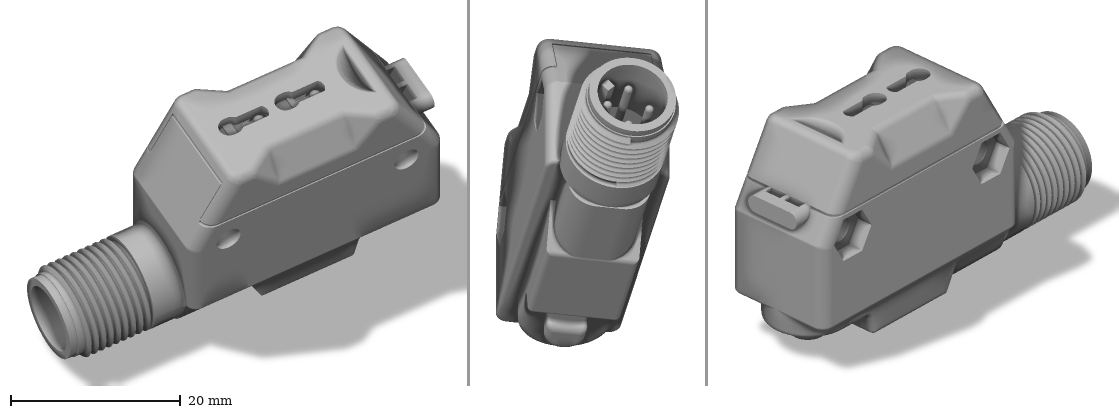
import cadquery as cq
import math


overlap = 1.0
pick_slack = 0.25

width = 15.0
length = 34.4
bottom_z = -0.35
shoulder_z = 11.1
shoulder_round = 0.4
top_z = 21.4
slope_angle = 60
end_round = 1.5
top_round = 1.2
bottom_round = 0.45
half_width = width / 2
mid_y = length / 2
slope_run = (top_z - shoulder_z) / math.tan(math.radians(slope_angle))

seam_top = 14.8
seam_height = 0.4
seam_depth = 0.15
end_panel_width = 11.95
end_panel_top = 20.05
end_panel_depth = 0.25
end_panel_top_gap = 0.35
end_panel_side_gap = 0.1

pocket_length = 10.2
pocket_top_x = 4.75
pocket_bottom_z = 17.25
pocket_end_slant = 1.75
pocket_lip_round = 1.2
pocket_corner_round = 0.6
pocket_reach = 10.0

thumb_back_y = 26.95
thumb_front_y = 24.6
thumb_radius = 4.45
thumb_rim = 0.45

slot_depth = 1.5
slot_width = 1.7
slot_head_radius = 1.3
slot_head_stretch = 0.4
slot_head_offset = 3.85
well_radius = 1.15
well_depth = 0.5
knob_radius = 0.75
mark_height = 0.25
mark_x = 0.4
mark_gap = 0.6
mark_width = 0.7
stud_y = 11.85
stud_radius = 0.55
crossbar_start = 9.2
crossbar_end = 10.3
front_slot_y = 13.5
rear_slot_y = 21.1

hole_y = (5.1, 29.2)
hole_z = 10.95
hole_diameter = 3.25
nut_diameter = 6.5
nut_depth = 2.1

bar_width = 7.75
bar_height = 2.25
bar_end_y = 35.1
bar_root_y = 30.05
bar_window_width = 2.35
bar_rib = 0.65
bar_window_back = 32.25
bar_window_front = 33.4

base_width = 11.1
base_z = -3.15
block_z = -6.1
block_rear_top_y = 24.2
block_rear_bottom_y = 23.4
block_front_bottom_y = 10.9
block_front_top_y = 7.5
base_round = 0.65
tunnel_width = 9.9
tunnel_round = 3.35

button_radius = 2.45
button_y = 28.9
button_flat_y = 27.05
button_z = -5.45
button_round = 0.9
button_corner = 0.5

neck_radius = 6.0
neck_length = 4.1
flare = 0.25
core_radius = 5.35
core_end = 14.05
tip_radius = 5.2
connector_length = 50.1 - bar_end_y
thread_pitch = 1.0
thread_turns = 9.0
thread_start = 4.35
thread_base = 0.95
thread_embed = 0.1
bore_radius = 4.2
bore_depth = 9.0
pin_circle = 2.5
pin_radius = 0.5
pin_recess = 2.25
pin_round = 0.45
key_width = 1.1
key_inner = 3.0
key_outer = 4.85
key_angle = 45
key_recess = 2.25


def profile_x(points, x_width):
    """Extrude a (y, z) outline symmetrically about the YZ plane."""
    return cq.Workplane("YZ").polyline(points).close().extrude(x_width / 2, both=True)


def cylinder_y(radius, y_start, y_end, x=0, z=0):
    """Cylinder along Y from y_start down to y_end."""
    return cq.Workplane("XZ", origin=(x, y_start, z)).circle(radius).extrude(y_start - y_end)


def box_between(z_low, z_high, x_size, y_size, y_center=0):
    """Box centered on X, between two heights."""
    plane = cq.Workplane("XY", origin=(0, y_center, z_low))
    return plane.rect(x_size, y_size).extrude(z_high - z_low)


def pick_box(low, high):
    """Selector for edges whose centers lie in a slightly enlarged box."""
    return cq.selectors.BoxSelector(
        tuple(value - pick_slack for value in low),
        tuple(value + pick_slack for value in high),
    )


def slope_y(z):
    """Y of the connector-side slope at height z."""
    return (z - shoulder_z) / math.tan(math.radians(slope_angle))


def make_pocket():
    """Wedge on the +X side with a slanted floor and flared ends."""
    floor_run = half_width - pocket_top_x
    floor_drop = top_z - pocket_bottom_z
    half = pocket_length / 2
    flared_half = half + pocket_end_slant * pocket_reach
    floor_plane = cq.Plane(
        origin=(half_width, mid_y, pocket_bottom_z),
        xDir=(0, 1, 0),
        normal=(floor_run, 0, -floor_drop),
    )
    outline = [(-half, 0), (half, 0), (flared_half, pocket_reach), (-flared_half, pocket_reach)]
    return cq.Workplane(floor_plane).polyline(outline).close().extrude(pocket_reach, both=True)


def make_housing():
    outline = [
        (0, bottom_z),
        (0, shoulder_z),
        (slope_run, top_z),
        (length - slope_run, top_z),
        (length, shoulder_z),
        (length, bottom_z),
    ]
    housing = profile_x(outline, width)
    shoulder_edges = pick_box((-half_width, 0, shoulder_z), (half_width, length, shoulder_z))
    housing = housing.edges(shoulder_edges).edges("|X").fillet(shoulder_round)
    housing = housing.edges("not (|X or |Y)").fillet(end_round)
    pocket = make_pocket()
    housing = housing.cut(pocket).cut(pocket.mirror("YZ"))
    housing = housing.faces(">Z").edges().fillet(top_round)
    for side in (-1, 1):
        housing = round_pocket(housing, side)
    return housing.faces("<Z").edges().fillet(bottom_round)


def round_pocket(housing, side):
    """Round one pocket's outline on the side face, then its two inside corners."""
    face_x = side * half_width
    outline = pick_box(
        (face_x, slope_run, pocket_bottom_z),
        (face_x, length - slope_run, top_z - top_round),
    )
    housing = housing.edges(outline).fillet(pocket_lip_round)
    corner_x = side * (half_width + pocket_top_x) / 2
    corner_z = (top_z + pocket_bottom_z) / 2
    for end in (-1, 1):
        corner_y = mid_y + end * pocket_length / 2
        corner = pick_box((corner_x - 0.5, corner_y, corner_z - 0.5), (corner_x + 0.5, corner_y, corner_z + 0.5))
        housing = housing.edges(corner).fillet(pocket_corner_round)
    return housing


def cut_seam(housing):
    """Shallow groove below the lid on the sides and corners and across the rear."""
    seam_bottom = seam_top - seam_height
    ring = housing.intersect(box_between(seam_bottom, seam_top, 2 * width, 2 * length, mid_y))
    core_length = length - 2 * slope_y(seam_top) - 2 * seam_depth
    core = box_between(seam_bottom, seam_top, width - 2 * seam_depth, core_length, mid_y)
    ring = ring.cut(core.edges("|Z").fillet(end_round))
    panel = box_between(seam_bottom, seam_top, end_panel_width, length)
    return housing.cut(ring.cut(panel))


def cut_end_panel(housing):
    """Narrow gap framing the top and sides of the panel on the connector-side slope."""
    seam_y = slope_y(seam_top)
    top_y = slope_y(end_panel_top)
    outline = [
        (seam_y - end_panel_depth, seam_top),
        (seam_y + end_panel_depth, seam_top),
        (top_y + end_panel_depth, end_panel_top),
        (top_y - end_panel_depth, end_panel_top),
    ]
    panel_top = end_panel_top - end_panel_top_gap
    panel = profile_x(outline, end_panel_width - 2 * end_panel_side_gap)
    panel = panel.intersect(box_between(0, panel_top, width, length))
    return housing.cut(profile_x(outline, end_panel_width).cut(panel))


def cut_thumb_recess(housing):
    """Conical scoop closed by an upright back wall, with a rounded rim."""
    tip = (0, thumb_front_y + thumb_radius, top_z - thumb_radius)
    scoop = cq.Workplane(cq.Solid.makeCone(0, thumb_radius, thumb_radius, pnt=tip, dir=(0, 0, 1)))
    front = box_between(0, top_z, width, length, thumb_back_y - length / 2)
    housing = housing.cut(scoop.intersect(front))
    rim = pick_box((-thumb_radius, thumb_front_y, top_z), (thumb_radius, thumb_back_y, top_z))
    return housing.edges(rim).fillet(thumb_rim)


def cut_keyhole(housing, knob_y):
    """Keyhole slot with a round well and a domed knob at its narrow end."""
    floor_z = top_z - slot_depth
    head_y = knob_y - slot_head_offset
    neck = box_between(floor_z, top_z, slot_width, slot_head_offset, knob_y - slot_head_offset / 2)
    well_floor = floor_z - well_depth
    well = cq.Workplane("XY", origin=(0, knob_y, well_floor)).circle(well_radius).extrude(top_z - well_floor)
    well = well.intersect(box_between(well_floor, top_z, slot_width, 2 * well_radius, knob_y))
    head = (
        cq.Workplane("XY", origin=(0, head_y, floor_z))
        .slot2D(2 * slot_head_radius + slot_head_stretch, 2 * slot_head_radius, 90)
        .extrude(slot_depth)
    )
    knob = cq.Workplane("XY", origin=(0, knob_y, floor_z)).sphere(knob_radius)
    return housing.cut(neck).cut(head).cut(well).union(knob)


def make_corner_marks():
    """Two opposed L-shaped steps on the floor of the rear slot."""
    head_y = rear_slot_y - slot_head_offset
    neck_reach = slot_head_offset - well_radius
    upper = [
        (mark_x, neck_reach),
        (mark_x, mark_gap),
        (-slot_head_radius, mark_gap),
        (-slot_head_radius, mark_gap + mark_width),
        (mark_x - mark_width, mark_gap + mark_width),
        (mark_x - mark_width, neck_reach),
    ]
    lower = [(-x, -y) for x, y in upper]
    marks = cq.Workplane("XY", origin=(0, head_y, top_z - slot_depth))
    return marks.polyline(upper).close().polyline(lower).close().extrude(mark_height)


def make_front_marks():
    """Round stud and raised crossbar on the floor of the front slot."""
    floor_z = top_z - slot_depth
    stud = cq.Workplane("XY", origin=(0, stud_y, floor_z)).circle(stud_radius).extrude(mark_height)
    outline = [
        (crossbar_start, floor_z),
        (crossbar_end + mark_height, floor_z),
        (crossbar_end, floor_z + mark_height),
        (crossbar_start, floor_z + mark_height),
    ]
    return stud.union(profile_x(outline, 2 * slot_head_radius))


def cut_nut_holes(housing):
    for y in hole_y:
        hole = cq.Workplane("YZ", origin=(0, y, hole_z)).circle(hole_diameter / 2)
        nut = cq.Workplane("YZ", origin=(-half_width, y, hole_z)).polygon(6, nut_diameter)
        housing = housing.cut(hole.extrude(width, both=True)).cut(nut.extrude(nut_depth))
    return housing


def make_light_bar():
    """Round-sided bar on the rear slope with two slanted windows behind its front."""
    bar = (
        cq.Workplane("XZ", origin=(0, bar_end_y, seam_top - bar_height / 2))
        .slot2D(bar_width, bar_height)
        .extrude(bar_end_y - bar_root_y)
    )
    return bar


def cut_bar_windows(body):
    drop = (bar_window_front - bar_window_back) * math.tan(math.radians(slope_angle))
    outline = [
        (bar_window_back, seam_top + bar_height),
        (bar_window_front, seam_top + bar_height),
        (bar_window_front, seam_top),
        (bar_window_back, seam_top - drop),
    ]
    window = profile_x(outline, bar_window_width)
    offset = (bar_window_width + bar_rib) / 2
    for side in (-1, 1):
        body = body.cut(window.translate((side * offset, 0, 0)))
    return body


def make_base():
    """Round-ended foot and deeper block under the housing."""
    top = bottom_z + overlap
    outline = [
        (length, top),
        (length, base_z),
        (block_rear_top_y, base_z),
        (block_rear_bottom_y, block_z),
        (block_front_bottom_y, block_z),
        (block_front_top_y, top),
    ]
    end_radius = base_width / 2
    straight = length - end_radius
    plan = (
        cq.Workplane("XY", origin=(0, 0, block_z))
        .moveTo(-end_radius, 0)
        .lineTo(-end_radius, straight)
        .threePointArc((0, length), (end_radius, straight))
        .lineTo(end_radius, 0)
        .close()
        .extrude(top - block_z)
    )
    base = profile_x(outline, base_width).intersect(plan)
    step_middle_z = (block_z + base_z) / 2
    step_edges = pick_box(
        (-base_width / 2, block_rear_bottom_y, step_middle_z),
        (base_width / 2, block_rear_top_y, step_middle_z),
    )
    lower_edges = base.faces("-Z").edges()
    return lower_edges.add(base.edges(step_edges)).fillet(base_round)


def make_tunnel():
    """Round-cornered ridge running from the block to the connector."""
    height = bottom_z + overlap - block_z
    return (
        cq.Workplane("XZ", origin=(0, 0, block_z + height / 2))
        .rect(tunnel_width, height)
        .extrude(-block_front_bottom_y)
        .edges("|Y and <Z")
        .fillet(tunnel_round)
    )


def make_button():
    """D-shaped button with its flat toward the connector."""
    button = (
        cq.Workplane("XY", origin=(0, 0, button_z))
        .moveTo(-button_radius, button_flat_y)
        .lineTo(-button_radius, button_y)
        .threePointArc((0, button_y + button_radius), (button_radius, button_y))
        .lineTo(button_radius, button_flat_y)
        .close()
        .extrude(base_z - button_z + overlap)
    )
    button = button.edges("|Z and <Y").fillet(button_corner)
    return button.faces("<Z").edges().fillet(button_round)


def make_thread():
    """Helical ridge around the connector, on the -Y axis."""
    root = core_radius - thread_embed
    helix = cq.Wire.makeHelix(thread_pitch, thread_pitch * thread_turns, core_radius)
    ridge = (
        cq.Workplane("XZ")
        .polyline([(root, -thread_base / 2), (root, thread_base / 2), (neck_radius, 0)])
        .close()
        .sweep(cq.Workplane(helix), isFrenet=True)
    )
    ridge = ridge.rotate((0, 0, 0), (0, 0, 1), -90)
    return ridge.rotate((0, 0, 0), (1, 0, 0), 90).translate((0, -thread_start, 0))


def make_connector():
    connector = cylinder_y(neck_radius, 0, -neck_length)
    connector = connector.union(cylinder_y(core_radius, -neck_length, -core_end))
    connector = connector.union(make_thread())
    connector = connector.union(cylinder_y(tip_radius, -neck_length, -connector_length))
    bore_floor = bore_depth - connector_length
    connector = connector.cut(cylinder_y(bore_radius, bore_floor, -connector_length))
    for angle in range(0, 360, 90):
        x = pin_circle * math.cos(math.radians(angle))
        z = pin_circle * math.sin(math.radians(angle))
        pin = cylinder_y(pin_radius, bore_floor + overlap, pin_recess - connector_length, x, z)
        connector = connector.union(pin.faces("<Y").edges().fillet(pin_round))
    key = (
        cq.Workplane("XZ", origin=(0, bore_floor, 0))
        .center(-(key_inner + key_outer) / 2, 0)
        .rect(key_outer - key_inner, key_width)
        .extrude(bore_depth - key_recess)
        .rotate((0, 0, 0), (0, 1, 0), key_angle)
    )
    return connector.union(key)


def make_flare():
    """Conical fillet where the connector meets the housing."""
    cone = cq.Solid.makeCone(neck_radius + flare, neck_radius, flare, pnt=(0, 0, 0), dir=(0, -1, 0))
    above = box_between(bottom_z, shoulder_z, width, width)
    return cq.Workplane(cone).intersect(above)


result = cut_end_panel(cut_seam(make_housing()))
result = cut_thumb_recess(result)
for slot_y in (front_slot_y, rear_slot_y):
    result = cut_keyhole(result, slot_y)
result = result.union(make_corner_marks()).union(make_front_marks())
result = cut_nut_holes(result)
result = cut_bar_windows(result.union(make_light_bar()))
result = result.union(make_base()).union(make_tunnel()).union(make_button())
result = result.union(make_flare()).union(make_connector())